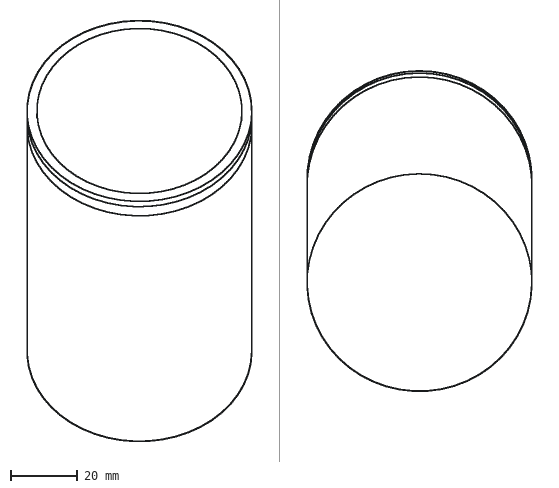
import cadquery as cq

height = 122.0
outer_diameter = 68.0
bore_diameter = 62.0
wall = (outer_diameter - bore_diameter) / 2
floor_thickness = wall

groove_radius = 2.3
groove_center_below_rim = 5.0


def cup():
    """Cylinder closed at the bottom and open at the top."""
    body = cq.Workplane("XY").circle(outer_diameter / 2).extrude(height)
    bore = (
        cq.Workplane("XY")
        .workplane(offset=floor_thickness)
        .circle(bore_diameter / 2)
        .extrude(height - floor_thickness)
    )
    return body.cut(bore)


def rim_groove():
    """Ring of circular section, centered on the outer surface, that cuts the groove."""
    center_radius = outer_diameter / 2
    return (
        cq.Workplane("XZ")
        .center(center_radius, height - groove_center_below_rim)
        .circle(groove_radius)
        .revolve(360, (-center_radius, 0), (-center_radius, 1))
    )


result = cup().cut(rim_groove())